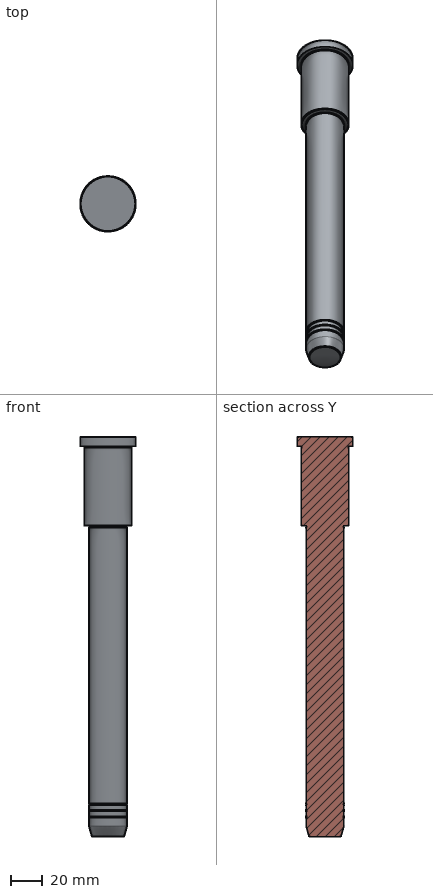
import cadquery as cq

total_length = 251.0
head_diameter = 35.0
collar_diameter = 30.0
shank_diameter = 24.0

head_thickness = 6.0
head_chamfer = 0.5

collar_length = 50.0
collar_chamfer = 0.5

relief_width = 1.0

tip_length = 7.0
tip_diameter = 20.4
tip_bulge = 0.1
tip_chamfer = 0.5

groove_count = 3
groove_width = 1.0
groove_pitch = 4.0
lowest_groove_center_z = 12.5

head_bottom_z = total_length - head_thickness
collar_bottom_z = head_bottom_z - collar_length


def disc(diameter, bottom_z, height):
    """Solid cylinder on the Z axis."""
    return cq.Workplane("XY").workplane(offset=bottom_z).circle(diameter / 2).extrude(height)


def cut_vee_groove(body, diameter, center_z, width):
    """Cut a right-angled vee groove of the given width around a cylinder of the given diameter."""
    radius = diameter / 2
    half_width = width / 2
    ring = (
        cq.Workplane("XZ")
        .moveTo(radius, center_z - half_width)
        .lineTo(radius, center_z + half_width)
        .lineTo(radius - half_width, center_z)
        .close()
        .revolve(360, (0, 0), (0, 1))
    )
    return body.cut(ring)


def make_head():
    head = disc(head_diameter, head_bottom_z, head_thickness)
    return head.faces(">Z").edges().chamfer(head_chamfer)


def make_collar():
    collar = disc(collar_diameter, collar_bottom_z, collar_length)
    collar = collar.faces("<Z").edges().chamfer(collar_chamfer)
    return cut_vee_groove(collar, collar_diameter, head_bottom_z - relief_width / 2, relief_width)


def make_shank():
    shank = disc(shank_diameter, tip_length, collar_bottom_z - tip_length)
    for index in range(groove_count):
        groove_z = lowest_groove_center_z + index * groove_pitch
        shank = cut_vee_groove(shank, shank_diameter, groove_z, groove_width)
    return cut_vee_groove(shank, shank_diameter, collar_bottom_z - relief_width / 2, relief_width)


def make_tip():
    """Slightly convex taper with a small chamfer at the end face."""
    tip_radius = tip_diameter / 2
    shank_radius = shank_diameter / 2
    bulge_point = ((tip_radius + shank_radius) / 2 + tip_bulge, (tip_chamfer + tip_length) / 2)
    return (
        cq.Workplane("XZ")
        .lineTo(tip_radius - tip_chamfer, 0)
        .lineTo(tip_radius, tip_chamfer)
        .threePointArc(bulge_point, (shank_radius, tip_length))
        .lineTo(0, tip_length)
        .close()
        .revolve(360, (0, 0), (0, 1))
    )


result = make_shank().union(make_tip()).union(make_collar()).union(make_head())